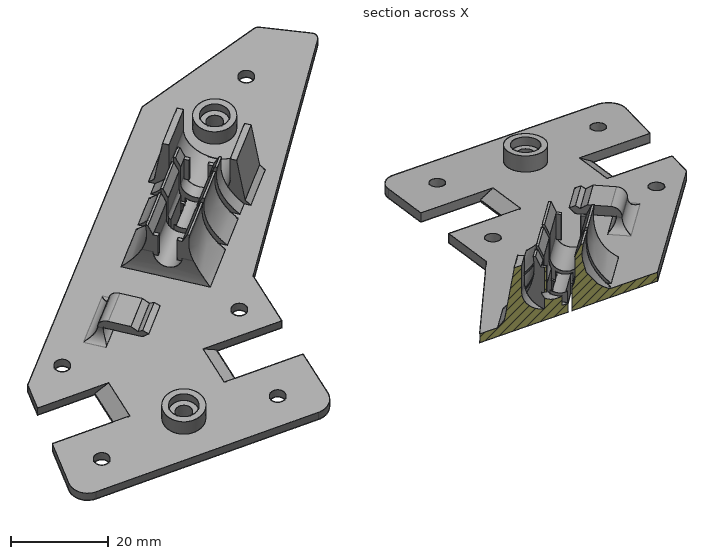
import cadquery as cq
import math

plate_thickness = 2.2
plate_length = 100.5
tip_x = 7.1
tip_y = 99.5
left_corner = (-0.14, 88.8)
lower_bend = (9.6, 58.2)
lower_end = (68.1, 4.3)
shoulder_x = 61.0
top_edge_y = 58.8
bottom_slope = math.tan(math.radians(8.2))
bottom_edge_y = lower_end[1] - (plate_length - lower_end[0]) * bottom_slope
blunt_radius = 1.4
corner_radius = 4

notch_left = 74.7
notch_right = 84.7
upper_notch_floor = 40.9
lower_notch_floor = 19.5
bevel_run = 3.1
bevel_land = 0.4

hole_diameter = 3.4
hole_points = [(11.3, 81.0), (68.2, 52.3), (92.9, 49.2), (92.9, 9.2), (66.3, 13.0)]
boss_points = [(21.1, 69.2), (90.0, 29.3)]
boss_diameter = 9
boss_height = 3.8
boss_bore = 3.6
counterbore_diameter = 6.2
counterbore_depth = 2

axis_angle = -42.5
axis_origin = (48.7, 47.0)
clip_top = 15.1
cradle_start = -27.2
cradle_end = -17.1
clip_end = 6.7

cradle_base_half = 11.0
cradle_wall_half = 9.8
cradle_top_half = 7.9
cradle_foot_top = 3.4
cradle_bore_radius = 6.5
cradle_bore_z = 8.8

clip_base_half = 9.6
clip_waist_half = 5.5
clip_top_half = 4.7
clip_waist_z = 7.4
clip_end_flare = 1.4
clip_end_flare_top = 7.4
clip_bore_radius = 3.1
clip_bore_z = 7.4
clip_mouth_half = 4.2
gap_width = 1.2
gap_centers = [-13.5, -4.6]
lip_thickness = 0.8
lip_slot_width = 4
lip_bottom = 6.6
lip_top = 12.7
lip_starts = [cradle_end, clip_end - clip_end_flare - lip_thickness]

slot_inner = 1.4
slot_width = 1.2
slot_bend = 1
slot_end_rise = 1

hook_left = 18.1
hook_right = 26.1
hook_flare = 2.6
hook_flare_top = 4.9
hook_top = 7.3
hook_stem_outer = -8.6
hook_stem_inner = -7.4
hook_foot_outer = -10.9
hook_foot_inner = -6
hook_round = 2.3
hook_arm_bottom = 5
hook_dip_start = -1.5
hook_dip = 0
hook_dip_z = 6.3
hook_tip_crest = 1
hook_tip_z = 6.9
hook_tip = 2.3
hook_nose_z = 6.3


def concave_mid(start, end):
    """Middle of the arc that leaves `start` vertically and sweeps out to `end`."""
    dx = end[0] - start[0]
    dz = end[1] - start[1]
    radius = (dx**2 + dz**2) / (2 * abs(dx))
    half_angle = math.asin(abs(dz) / radius) / 2
    side = math.copysign(1, dx)
    return (
        start[0] + side * radius * (1 - math.cos(half_angle)),
        start[1] - radius * math.sin(half_angle),
    )


def local_box(x0, x1, half_width, z0, z1):
    return cq.Workplane("XY").box(
        x1 - x0, 2 * half_width, z1 - z0, centered=(False, True, False)
    ).translate((x0, 0, z0))


def cross_section(x_start):
    """Sketch plane across the cable axis: local X is Y, local Y is Z."""
    return cq.Workplane("YZ", origin=(x_start, 0, 0))


def make_plate():
    outline = [
        left_corner,
        (tip_x, tip_y),
        (shoulder_x, top_edge_y),
        (plate_length, top_edge_y),
        (plate_length, bottom_edge_y),
        lower_end,
        lower_bend,
    ]
    plate = cq.Workplane("XY").polyline(outline).close().extrude(plate_thickness)
    for corner in (left_corner, (tip_x, tip_y), lower_bend):
        nearest = cq.selectors.NearestToPointSelector((*corner, plate_thickness / 2))
        plate = plate.edges("|Z").edges(nearest).fillet(blunt_radius)
    return plate.edges("|Z").edges(">X").fillet(corner_radius)


def notch(floor_y, direction):
    """Notch open towards `direction` (+1 or -1 in Y) with a bevelled floor."""
    open_y = floor_y + direction * plate_length
    bevel_y = floor_y + direction * bevel_run
    profile = [
        (floor_y, plate_thickness),
        (bevel_y, bevel_land),
        (bevel_y, 0),
        (open_y, 0),
        (open_y, plate_thickness),
    ]
    return cross_section(notch_left).polyline(profile).close().extrude(notch_right - notch_left)


def bore_cutter(x0, x1, radius, center_z):
    """Round-bottomed channel with upright sides, open at the top."""
    return (
        cross_section(x0)
        .moveTo(-radius, center_z)
        .threePointArc((0, center_z - radius), (radius, center_z))
        .lineTo(radius, clip_top)
        .lineTo(-radius, clip_top)
        .close()
        .extrude(x1 - x0)
    )


def make_cradle():
    right_side = [
        (cradle_base_half, plate_thickness),
        (cradle_wall_half, cradle_foot_top),
        (cradle_top_half, clip_top),
    ]
    left_side = [(-y, z) for y, z in reversed(right_side)]
    profile = cross_section(cradle_start).polyline(right_side + left_side).close()
    body = profile.extrude(cradle_end - cradle_start)
    return body.cut(bore_cutter(cradle_start, cradle_end, cradle_bore_radius, cradle_bore_z))


def make_clip():
    right_side = [
        (clip_top_half, clip_top),
        (clip_waist_half, clip_waist_z),
        (clip_base_half, plate_thickness),
    ]
    left_side = [(-y, z) for y, z in reversed(right_side)]
    body = (
        cross_section(cradle_end)
        .moveTo(*right_side[0])
        .spline(right_side[1:], includeCurrent=True)
        .lineTo(*left_side[0])
        .spline(left_side[1:], includeCurrent=True)
        .close()
        .extrude(clip_end - cradle_end)
    )
    end_start = (clip_end - clip_end_flare, clip_end_flare_top)
    end_foot = (clip_end, plate_thickness)
    side = (
        cq.Workplane("XZ")
        .moveTo(cradle_end, plate_thickness)
        .lineTo(cradle_end, clip_top)
        .lineTo(end_start[0], clip_top)
        .lineTo(*end_start)
        .threePointArc(concave_mid(end_start, end_foot), end_foot)
        .close()
        .extrude(clip_base_half, both=True)
    )
    body = body.intersect(side)
    body = body.cut(bore_cutter(cradle_end, clip_end, clip_bore_radius, clip_bore_z))
    mouth = [
        (clip_bore_radius, lip_top),
        (clip_mouth_half, clip_top),
        (-clip_mouth_half, clip_top),
        (-clip_bore_radius, lip_top),
    ]
    body = body.cut(cross_section(cradle_end).polyline(mouth).close().extrude(clip_end - cradle_end))
    for x in lip_starts:
        lip = local_box(x, x + lip_thickness, clip_mouth_half, lip_bottom, lip_top)
        lip_slot = local_box(x, x + lip_thickness, lip_slot_width / 2, lip_bottom, lip_top)
        body = body.union(lip.cut(lip_slot))
    for x in gap_centers:
        gap = local_box(x - gap_width / 2, x + gap_width / 2, clip_base_half, plate_thickness, clip_top)
        body = body.cut(gap)
    return body


def plate_slot(side):
    """Bracket-shaped opening beside the tongue; `side` is +1 or -1 in Y."""
    x0, x1 = gap_centers
    inner = slot_inner
    outer = slot_inner + slot_width
    points = [
        (x0, inner + slot_end_rise),
        (x0 + slot_bend, inner),
        (x1 - slot_bend, inner),
        (x1, inner + slot_end_rise),
        (x1, outer + slot_end_rise),
        (x1 - slot_bend, outer),
        (x0 + slot_bend, outer),
        (x0, outer + slot_end_rise),
    ]
    return cq.Workplane("XY").polyline([(x, side * y) for x, y in points]).close().extrude(clip_bore_z)


def make_hook():
    width = hook_right - hook_left
    outer_start = (hook_stem_outer, hook_flare_top)
    outer_foot = (hook_foot_outer, plate_thickness)
    inner_start = (hook_stem_inner, hook_flare_top)
    inner_foot = (hook_foot_inner, plate_thickness)
    foot_across = (
        cross_section(hook_left - hook_flare)
        .moveTo(*outer_start)
        .threePointArc(concave_mid(outer_start, outer_foot), outer_foot)
        .lineTo(*inner_foot)
        .threePointArc(concave_mid(inner_start, inner_foot), inner_start)
        .close()
        .extrude(width + 2 * hook_flare)
    )
    left_start = (hook_left, hook_flare_top)
    left_foot = (hook_left - hook_flare, plate_thickness)
    right_start = (hook_right, hook_flare_top)
    right_foot = (hook_right + hook_flare, plate_thickness)
    foot_along = (
        cq.Workplane("XZ")
        .moveTo(*left_start)
        .threePointArc(concave_mid(left_start, left_foot), left_foot)
        .lineTo(*right_foot)
        .threePointArc(concave_mid(right_start, right_foot), right_start)
        .close()
        .extrude(-2 * hook_foot_outer, both=True)
    )
    arm_profile = [
        (hook_dip_start, hook_top),
        (hook_dip, hook_dip_z),
        (hook_tip_crest, hook_tip_z),
        (hook_tip, hook_nose_z),
        (hook_tip_crest, hook_arm_bottom),
        (hook_stem_inner, hook_arm_bottom),
        inner_start,
        outer_start,
        (hook_stem_outer, hook_top - hook_round),
    ]
    arm = (
        cross_section(hook_left)
        .polyline(arm_profile)
        .tangentArcPoint((hook_round, hook_round))
        .close()
        .extrude(width)
    )
    return foot_across.intersect(foot_along).union(arm)


def place(body):
    """Turn a body built along local X onto the cable axis of the plate."""
    return body.rotate((0, 0, 0), (0, 0, 1), axis_angle).translate((*axis_origin, 0))


plate = make_plate()
plate = plate.cut(notch(upper_notch_floor, 1)).cut(notch(lower_notch_floor, -1))
holes = cq.Workplane("XY").pushPoints(hole_points).circle(hole_diameter / 2)
plate = plate.cut(holes.extrude(plate_thickness))

for body in (make_cradle(), make_clip(), make_hook()):
    plate = plate.union(place(body))
for side in (1, -1):
    plate = plate.cut(place(plate_slot(side)))

boss_top = plate_thickness + boss_height
bosses = cq.Workplane("XY").pushPoints(boss_points).circle(boss_diameter / 2)
plate = plate.union(bosses.extrude(boss_top))
boss_centers = cq.Workplane("XY", origin=(0, 0, boss_top)).pushPoints(boss_points)
plate = plate.cut(boss_centers.circle(counterbore_diameter / 2).extrude(-counterbore_depth))
result = plate.cut(boss_centers.circle(boss_bore / 2).extrude(-boss_top))